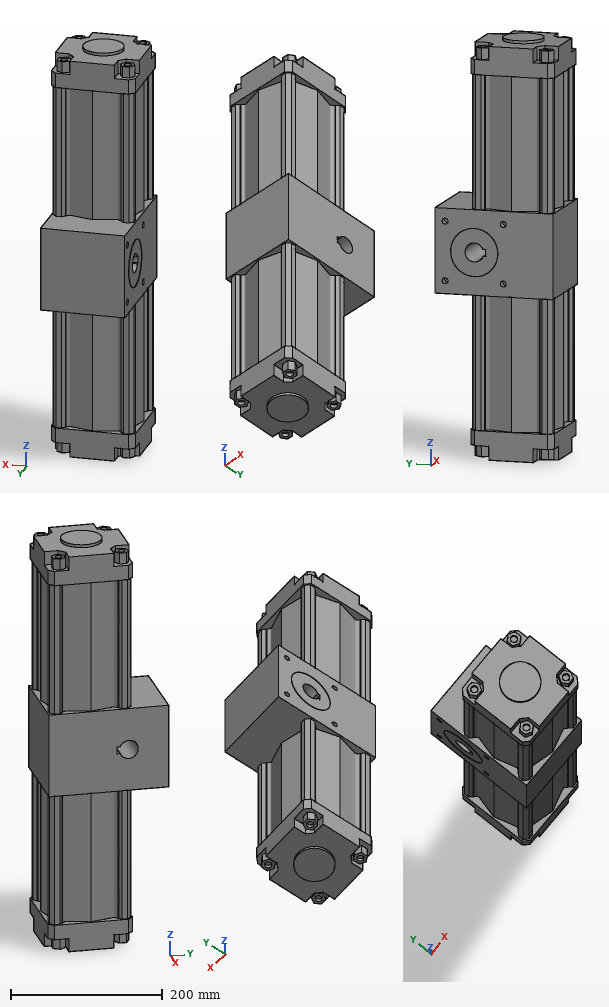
import cadquery as cq
import math

overall_length = 563.0
button_height = 4.0
cap_length = 39.0
cap_step_depth = 18.5
cap_top = overall_length / 2 - button_height
cap_step = cap_top - cap_step_depth
cap_base = cap_top - cap_length

body_width = 115.0
housing_depth = 162.0
housing_back = housing_depth - body_width / 2
shaft_y = 50.5
shaft_diameter = 65.0
shaft_recess_depth = 0.5
bore_diameter = 25.5
key_width = 9.5
key_reach = 16.0
mount_hole_diameter = 8.0
mount_hole_depth = 11.0
mount_hole_offset = 40.0

tube_width = 110.5
tube_chamfer = 5.5
valley_end = 42.0
valley_slope = math.radians(15)
valley_flank = math.radians(45)
valley_fillet = 3.0
slit_x = 38.0
slit_width = 1.0
slit_depth = 1.5

cap_chamfer = 7.5
pocket_wall = 30.5
pocket_chamfer = 8.5
button_diameter = 54.5

nut_across_flats = 17.0
nut_height = 15.0
nut_hole_diameter = 9.5
nut_hole_depth = 5.5
nut_x = 41.5
nut_y = 44.5


def make_housing():
    body = cq.Workplane("XY").box(body_width, housing_depth, body_width)
    body = body.translate((0, housing_back - housing_depth / 2, 0))
    left_face = cq.Workplane("YZ", origin=(-body_width / 2, shaft_y, 0))
    shaft_recess = left_face.circle(shaft_diameter / 2).extrude(shaft_recess_depth)
    bore = left_face.circle(bore_diameter / 2).extrude(body_width)
    keyway = left_face.center(-key_reach / 2, 0).rect(key_reach, key_width).extrude(body_width)
    mount_holes = (
        left_face.rect(2 * mount_hole_offset, 2 * mount_hole_offset, forConstruction=True)
        .vertices()
        .circle(mount_hole_diameter / 2)
        .extrude(mount_hole_depth)
    )
    return body.cut(shaft_recess).cut(bore).cut(keyway).cut(mount_holes)


def make_valley(length):
    """Cutter for the valley on the +X half of the +Y side, with a slit in its steep flank."""
    half = tube_width / 2
    depth = valley_end / (1 / math.tan(valley_slope) + 1 / math.tan(valley_flank))
    bottom_x = depth / math.tan(valley_slope)
    valley = (
        cq.Workplane("XY")
        .polyline([(0, half), (bottom_x, half - depth), (valley_end, half)])
        .close()
        .extrude(length)
        .edges("|Z and <Y")
        .fillet(valley_fillet)
    )
    slit_y = half - (valley_end - slit_x) * math.tan(valley_flank)
    slit = (
        cq.Workplane("XY")
        .rect(slit_width, 2 * slit_depth)
        .extrude(length)
        .rotate((0, 0, 0), (0, 0, 1), math.degrees(valley_flank))
        .translate((slit_x, slit_y, 0))
    )
    return valley.union(slit)


def make_tube():
    length = cap_base - body_width / 2
    tube = (
        cq.Workplane("XY")
        .rect(tube_width, tube_width)
        .extrude(length)
        .edges("|Z")
        .chamfer(tube_chamfer)
    )
    right_valley = make_valley(length)
    left_valley = right_valley.mirror("YZ")
    for turn in range(4):
        angle = 90 * turn
        for valley in (right_valley, left_valley):
            tube = tube.cut(valley.rotate((0, 0, 0), (0, 0, 1), angle))
    return tube.translate((0, 0, body_width / 2))


def make_cap():
    cap = (
        cq.Workplane("XY", origin=(0, 0, cap_base))
        .rect(body_width, body_width)
        .extrude(cap_length)
        .edges("|Z")
        .chamfer(cap_chamfer)
    )
    pocket_center = pocket_wall + body_width / 2
    pocket = (
        cq.Workplane("XY", origin=(pocket_center, pocket_center, cap_step))
        .rect(body_width, body_width)
        .extrude(cap_step_depth)
        .edges("|Z")
        .chamfer(pocket_chamfer)
    )
    nut = (
        cq.Workplane("XY", origin=(nut_x, nut_y, cap_step))
        .polygon(6, nut_across_flats, circumscribed=True)
        .extrude(nut_height)
        .faces(">Z")
        .workplane()
        .hole(nut_hole_diameter, nut_hole_depth)
    )
    for turn in range(4):
        angle = 90 * turn
        cap = cap.cut(pocket.rotate((0, 0, 0), (0, 0, 1), angle))
        cap = cap.union(nut.rotate((0, 0, 0), (0, 0, 1), angle))
    button = (
        cq.Workplane("XY", origin=(0, 0, cap_top))
        .circle(button_diameter / 2)
        .extrude(button_height)
    )
    return cap.union(button)


upper_half = make_tube().union(make_cap())
lower_half = upper_half.mirror("XY")
result = make_housing().union(upper_half).union(lower_half)